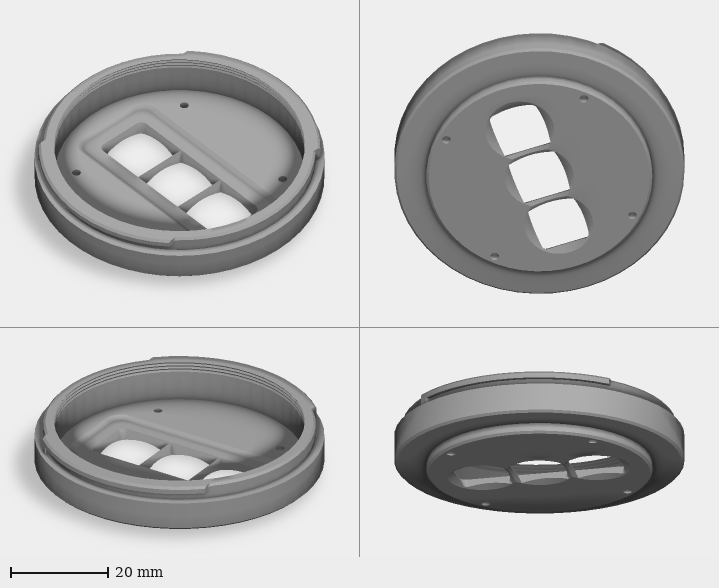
import cadquery as cq
import math

flange_d = 59.6
boss_d = 46.4
rim_d = 56.0
bore_d = 51.5
total_h = 11.5
boss_h = 2.15
flange_top = 8.35
floor_z = 2.9
edge_chamfer = 0.5

groove_count = 3
groove_pitch = 0.7
groove_depth = 0.25

tab_d = 57.9
tab_h = 1.5
tab_half_width = 19.85
leg_end_angle = 50.2

recess_length = 44.15
recess_width = 20.0
recess_corner_r = 3.6
recess_depth = 0.7
recess_slope_run = 1.15

cell_count = 3
cell_size = 12.05
cell_taper = 26.0
window_corner_r = 1.5
window_bottom_corner_r = 1.0
cone_bottom_r = 7.1
cone_height = 3.2

hole_d = 1.8
hole_spacing = 30.0

recess_z = floor_z - recess_depth
tab_z = total_h - tab_h


def disc(diameter, z_bottom, z_top):
    return cq.Workplane("XY").workplane(offset=z_bottom).circle(diameter / 2).extrude(z_top - z_bottom)


def make_body():
    boss = disc(boss_d, 0, boss_h).faces("<Z").chamfer(edge_chamfer)
    flange = disc(flange_d, boss_h, flange_top).faces("<Z").chamfer(edge_chamfer)
    rim = disc(rim_d, flange_top, total_h).faces(">Z").chamfer(edge_chamfer)
    return boss.union(flange).union(rim)


def make_tabs():
    """Front and back tabs, each with a leg down to the flange at one end."""
    band = disc(tab_d, tab_z, total_h).faces(">Z").chamfer(edge_chamfer)
    band = band.intersect(cq.Workplane("XY").box(2 * tab_half_width, flange_d, 3 * total_h))

    reach_y = tab_half_width * math.tan(math.radians(leg_end_angle))
    leg_sector = (
        cq.Workplane("XY")
        .workplane(offset=flange_top)
        .moveTo(0, 0)
        .lineTo(-tab_half_width, 0)
        .lineTo(-tab_half_width, -reach_y)
        .close()
        .extrude(tab_z - flange_top)
    )
    leg = disc(tab_d, flange_top, tab_z).intersect(leg_sector)
    opposite_leg = leg.rotate((0, 0, 0), (0, 0, 1), 180)
    return band.union(leg).union(opposite_leg)


def make_bore():
    """Bore profile with V grooves stacked down from the top edge, revolved about Z."""
    radius = bore_d / 2
    profile = cq.Workplane("XZ").moveTo(0, floor_z).lineTo(radius, floor_z)
    for index in range(groove_count, 0, -1):
        groove_bottom = total_h - index * groove_pitch
        profile = profile.lineTo(radius, groove_bottom)
        profile = profile.lineTo(radius + groove_depth, groove_bottom + groove_pitch / 2)
    profile = profile.lineTo(radius, total_h).lineTo(0, total_h).close()
    return profile.revolve(360, (0, 0, 0), (0, 1, 0))


def make_recess():
    slope_angle = math.degrees(math.atan2(recess_slope_run, recess_depth))
    outline = cq.Sketch().rect(recess_length, recess_width).vertices().fillet(recess_corner_r)
    floor_plane = cq.Workplane("XY").workplane(offset=floor_z)
    return floor_plane.placeSketch(outline).extrude(-recess_depth, taper=slope_angle)


def make_windows():
    top_plane = cq.Workplane("XY").workplane(offset=recess_z)
    row_length = cell_count * cell_size
    inset = 2 * recess_z * math.tan(math.radians(cell_taper))
    top_outline = cq.Sketch().rect(row_length, cell_size).vertices().fillet(window_corner_r)
    bottom_outline = (
        cq.Sketch()
        .rect(row_length - inset, cell_size - inset)
        .vertices()
        .fillet(window_bottom_corner_r)
        .moved(cq.Location(cq.Vector(0, 0, -recess_z)))
    )
    envelope = top_plane.placeSketch(top_outline, bottom_outline).loft(ruled=True)

    centers = [((index - (cell_count - 1) / 2) * cell_size, 0) for index in range(cell_count)]
    windows = cq.Workplane("XY")
    for x, y in centers:
        cell = top_plane.center(x, y).rect(cell_size, cell_size).extrude(-recess_z, taper=cell_taper)
        cone = cq.Solid.makeCone(cone_bottom_r, 0, cone_height, pnt=cq.Vector(x, y, 0))
        cone = cq.Workplane(cone).intersect(disc(2 * flange_d, 0, recess_z))
        windows = windows.add(cell.intersect(envelope)).add(cone)
    return windows.vals()


def make_holes():
    return (
        cq.Workplane("XY")
        .rect(hole_spacing, hole_spacing, forConstruction=True)
        .vertices()
        .circle(hole_d / 2)
        .extrude(total_h)
    )


result = make_body().union(make_tabs()).cut(make_bore()).cut(make_recess())
for window_cutter in make_windows():
    result = result.cut(cq.Workplane(window_cutter))
result = result.cut(make_holes())